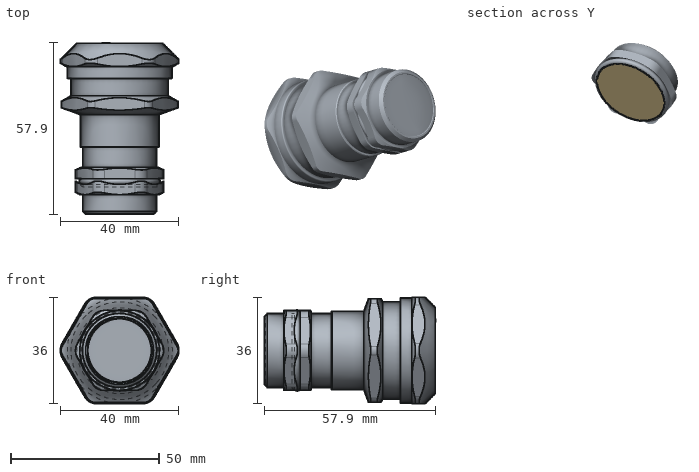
import cadquery as cq
import math


PAD_TOP_Y = 57.87
REAR_FACE_Y = 57.7
REAR_HEX_START_Y = 49.7
COLLAR_START_Y = 45.8
MIDDLE_HEX_END_Y = 39.9
MIDDLE_HEX_START_Y = 33.6
SLEEVE_START_Y = 22.6
UPPER_NUT_END_Y = 15.85
UPPER_NUT_START_Y = 12.05
LOWER_NUT_START_Y = 6.6

TUBE_RADIUS = 25.0 / 2
TUBE_CHAMFER = 1.05
SLEEVE_RADIUS = 26.6 / 2
SLEEVE_CHAMFER = 0.25
NECK_RADIUS = 33.0 / 2
COLLAR_RADIUS = 35.5 / 2
COLLAR_FILLET = 0.4
REAR_FACE_RADIUS = 14.5

RECESS_RADIUS = 10.7
RECESS_DEPTH = 0.3
RECESS_CHAMFER = 0.15

REAR_HEX_FLATS = 36.0
REAR_HEX_CORNER = 5.0
MIDDLE_HEX_FLATS = 35.0
MIDDLE_HEX_CORNER = 3.0
NUT_FLATS = 27.0
NUT_CORNER = 4.5

SLOPE_20 = math.tan(math.radians(20))
SLOPE_25 = math.tan(math.radians(25))
SLOPE_30 = math.tan(math.radians(30))
SLOPE_45 = 1.0

LOWER_NUT_FACE_RADIUS = 13.45
UPPER_NUT_FACE_RADIUS = 12.9
COUNTERSINK_Y_AT_FLAT = 10.05
COUNTERSINK_SLOPE = 0.8

RING_SECTION_RADIUS = 1.0
RING_OUTER_RADIUS = 13.68
RING_CENTRE_RADIUS = RING_OUTER_RADIUS - RING_SECTION_RADIUS
RING_Y = UPPER_NUT_START_Y - RING_SECTION_RADIUS

PAD_WIDTH = 2.6
PAD_HEIGHT = 0.9
PAD_X = -4.6
PAD_Z = 10.15


def revolve_profile(points):
    """Turn a (radius, y) outline into a solid around the Y axis."""
    return cq.Workplane("XY").polyline(points).close().revolve(360, (0, 0, 0), (0, 1, 0))


def hex_prism(across_flats, corner_radius, start_y, end_y):
    """Hexagonal prism along Y with flats facing +Z and -Z and rounded corners."""
    across_corners = across_flats / math.cos(math.radians(30))
    prism = cq.Workplane("XZ", origin=(0, start_y, 0)).polygon(6, across_corners).extrude(start_y - end_y)
    return prism.edges("|Y").fillet(corner_radius)


def chamfered_hex(across_flats, corner_radius, front, rear):
    """Hexagon trimmed by a cone at each end; front and rear are (y, face radius, slope)."""
    front_y, front_radius, front_slope = front
    rear_y, rear_radius, rear_slope = rear
    outer_radius = across_flats / math.sqrt(3)
    envelope = revolve_profile([
        (0, front_y),
        (front_radius, front_y),
        (outer_radius, front_y + (outer_radius - front_radius) * front_slope),
        (outer_radius, rear_y - (outer_radius - rear_radius) * rear_slope),
        (rear_radius, rear_y),
        (0, rear_y),
    ])
    return hex_prism(across_flats, corner_radius, front_y, rear_y).intersect(envelope)


def make_body():
    """Round core: front tube with its recess, sleeve and neck."""
    recess_rim_radius = RECESS_RADIUS + RECESS_CHAMFER
    return revolve_profile([
        (0, RECESS_DEPTH),
        (RECESS_RADIUS, RECESS_DEPTH),
        (RECESS_RADIUS, RECESS_CHAMFER),
        (recess_rim_radius, 0),
        (TUBE_RADIUS - TUBE_CHAMFER, 0),
        (TUBE_RADIUS, TUBE_CHAMFER),
        (TUBE_RADIUS, SLEEVE_START_Y),
        (SLEEVE_RADIUS - SLEEVE_CHAMFER, SLEEVE_START_Y),
        (SLEEVE_RADIUS, SLEEVE_START_Y + SLEEVE_CHAMFER),
        (SLEEVE_RADIUS, MIDDLE_HEX_END_Y),
        (NECK_RADIUS, MIDDLE_HEX_END_Y),
        (NECK_RADIUS, REAR_HEX_START_Y),
        (0, REAR_HEX_START_Y),
    ])


def make_collar():
    """Round collar in front of the rear hexagon, with a rounded front edge."""
    collar = cq.Workplane("XZ", origin=(0, REAR_HEX_START_Y, 0)).circle(COLLAR_RADIUS)
    return collar.extrude(REAR_HEX_START_Y - COLLAR_START_Y).edges("<Y").fillet(COLLAR_FILLET)


def make_rear_hex():
    """Cap hexagon with a long 45 degree cone towards the rear face."""
    front = (REAR_HEX_START_Y, COLLAR_RADIUS, SLOPE_30)
    rear = (REAR_FACE_Y, REAR_FACE_RADIUS, SLOPE_45)
    return chamfered_hex(REAR_HEX_FLATS, REAR_HEX_CORNER, front, rear)


def make_middle_hex():
    """Body hexagon that tapers down to the sleeve in front and the neck behind."""
    front = (MIDDLE_HEX_START_Y, SLEEVE_RADIUS, SLOPE_20)
    rear = (MIDDLE_HEX_END_Y, NECK_RADIUS, SLOPE_30)
    return chamfered_hex(MIDDLE_HEX_FLATS, MIDDLE_HEX_CORNER, front, rear)


def make_upper_nut():
    """Locknut with a flat front face and a shallow cone on its rear face."""
    outer_radius = NUT_FLATS / math.sqrt(3)
    envelope = revolve_profile([
        (0, UPPER_NUT_START_Y),
        (outer_radius, UPPER_NUT_START_Y),
        (outer_radius, UPPER_NUT_END_Y - (outer_radius - UPPER_NUT_FACE_RADIUS) * SLOPE_25),
        (UPPER_NUT_FACE_RADIUS, UPPER_NUT_END_Y),
        (0, UPPER_NUT_END_Y),
    ])
    return hex_prism(NUT_FLATS, NUT_CORNER, UPPER_NUT_START_Y, UPPER_NUT_END_Y).intersect(envelope)


def make_lower_nut():
    """Locknut whose rear face is countersunk towards the sealing ring."""
    outer_radius = NUT_FLATS / math.sqrt(3)
    flat_radius = NUT_FLATS / 2
    tube_contact_y = COUNTERSINK_Y_AT_FLAT - (flat_radius - TUBE_RADIUS) * COUNTERSINK_SLOPE
    rim_y = COUNTERSINK_Y_AT_FLAT + (outer_radius - flat_radius) * COUNTERSINK_SLOPE
    envelope = revolve_profile([
        (0, LOWER_NUT_START_Y),
        (LOWER_NUT_FACE_RADIUS, LOWER_NUT_START_Y),
        (outer_radius, LOWER_NUT_START_Y + (outer_radius - LOWER_NUT_FACE_RADIUS) * SLOPE_30),
        (outer_radius, rim_y),
        (TUBE_RADIUS, tube_contact_y),
        (0, tube_contact_y),
    ])
    return hex_prism(NUT_FLATS, NUT_CORNER, LOWER_NUT_START_Y, rim_y).intersect(envelope)


def make_sealing_ring():
    """Round-section ring seated between the two locknuts."""
    section = cq.Workplane("XY").center(-RING_CENTRE_RADIUS, RING_Y).circle(RING_SECTION_RADIUS)
    return section.revolve(360, (RING_CENTRE_RADIUS, 0, 0), (RING_CENTRE_RADIUS, 1, 0))


def make_rear_pad():
    """Small rectangular pad standing on the rear face."""
    pad = cq.Workplane("XZ", origin=(PAD_X, PAD_TOP_Y, PAD_Z)).rect(PAD_WIDTH, PAD_HEIGHT)
    return pad.extrude(PAD_TOP_Y - REAR_FACE_Y)


result = make_body()
for feature in (
    make_collar(),
    make_rear_hex(),
    make_middle_hex(),
    make_upper_nut(),
    make_lower_nut(),
    make_sealing_ring(),
    make_rear_pad(),
):
    result = result.union(feature)